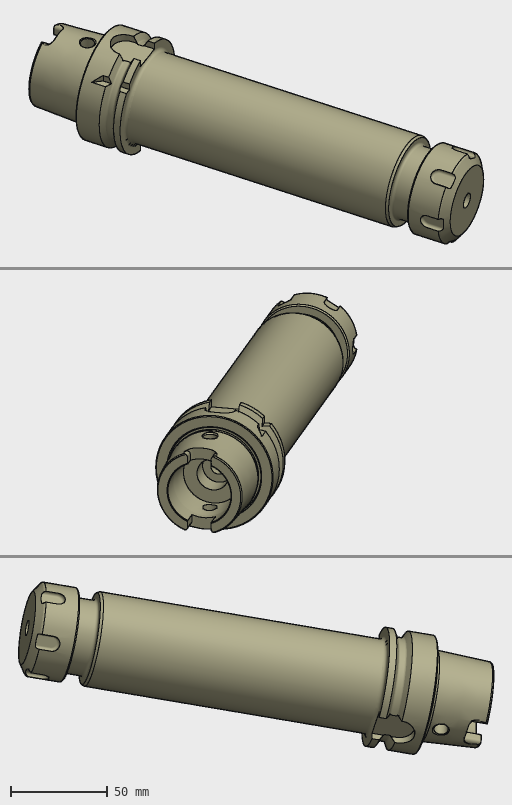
import cadquery as cq
import math


taper_length = 32.0
gauge_radius = 48 / 2
gauge_distance = 6.3
taper_slope = 1 / 20
nose_chamfer_length = 0.9
nose_chamfer_height = 0.5
undercut_radius = 23.7
undercut_length = 2.5
undercut_ramp = 1.0
face_recess_radius = 25.5
face_recess_depth = 0.6

flange_radius = 63 / 2
flange_width = 26.0
flange_chamfer = 0.5
groove_center = 18.0
groove_radius = 55 / 2
groove_bottom_width = 3.75
groove_flank_angle = 30.0
groove_root_fillet = 1.0

body_radius = 50 / 2
body_end = 179.0
body_chamfer_length = 1.5
body_chamfer_height = 0.75
body_root_fillet = 2.0
neck_radius = 40 / 2
neck_root_fillet = 1.5

nut_start = 190.0
nut_end = 212.4
nut_radius = 50 / 2
nut_back_chamfer = 0.8
nut_cone_length = 3.4
nut_face_radius = 38.6 / 2
nut_shoulder_radius = 24.3
nut_shoulder_length = 0.9
nut_wall = 6.0
nut_slot_count = 6
nut_slot_width = 8.0
nut_slot_length = 14.5
nut_slot_floor = 22.5
nut_slot_fillet = 1.4
neck_end = nut_end - nut_wall

bore_radius = 33.8 / 2
bore_straight_depth = 12.9
bore_mouth_chamfer = 0.4
bore_floor_radius = 31.4 / 2
bore_floor_x = -3.0
thread_bore_radius = 16.92 / 2
thread_bore_depth = 12.0
through_radius = 8 / 2
cross_hole_radius = 7.5 / 2
cross_hole_x = -9.0
cross_hole_sink_radius = 9 / 2

drive_slot_width = 12.54
drive_slot_corner = 4.3
drive_slot_rim_round = 2.0
upper_slot_length = 6.0
lower_slot_length = 9.6

pocket_width = 16.0
pocket_floor = 26.5
pocket_start = 5.3
notch_floor = 20.2
notch_wall = 20.5
notch_start = 5.7
notch_wall_start = 10.6

cut_margin = 5.0


def revolve_about_x(points):
    return cq.Workplane("XY").polyline(points).close().revolve(360, (0, 0, 0), (1, 0, 0))


def cylinder_along_x(radius, start, end):
    return cq.Workplane("YZ", origin=(start, 0, 0)).circle(radius).extrude(end - start)


def taper_radius(x):
    return gauge_radius + taper_slope * (x + gauge_distance)


def make_holder_blank():
    nose = -taper_length
    chamfer_end = nose + nose_chamfer_length
    root = body_root_fillet
    root_mid = root * (1 - math.sqrt(0.5))
    neck_mid = neck_root_fillet * (1 - math.sqrt(0.5))
    profile = (
        cq.Workplane("XY")
        .moveTo(nose, 0)
        .lineTo(nose, taper_radius(nose) - nose_chamfer_height)
        .lineTo(chamfer_end, taper_radius(chamfer_end))
        .lineTo(-undercut_length, taper_radius(-undercut_length))
        .lineTo(undercut_ramp - undercut_length, undercut_radius)
        .lineTo(face_recess_depth, undercut_radius)
        .lineTo(face_recess_depth, face_recess_radius - face_recess_depth)
        .lineTo(0, face_recess_radius)
        .lineTo(0, flange_radius - flange_chamfer)
        .lineTo(flange_chamfer, flange_radius)
        .lineTo(flange_width, flange_radius)
        .lineTo(flange_width, body_radius + root)
        .threePointArc(
            (flange_width + root_mid, body_radius + root_mid),
            (flange_width + root, body_radius),
        )
        .lineTo(body_end - body_chamfer_length, body_radius)
        .lineTo(body_end, body_radius - body_chamfer_height)
        .lineTo(body_end, neck_radius + neck_root_fillet)
        .threePointArc(
            (body_end + neck_mid, neck_radius + neck_mid),
            (body_end + neck_root_fillet, neck_radius),
        )
        .lineTo(neck_end, neck_radius)
        .lineTo(neck_end, 0)
        .close()
    )
    return profile.revolve(360, (0, 0, 0), (1, 0, 0))


def make_gripper_groove():
    half_bottom = groove_bottom_width / 2
    rim = flange_radius + cut_margin
    half_rim = half_bottom + (rim - groove_radius) * math.tan(math.radians(groove_flank_angle))
    groove = revolve_about_x([
        (groove_center - half_rim, rim),
        (groove_center - half_bottom, groove_radius),
        (groove_center + half_bottom, groove_radius),
        (groove_center + half_rim, rim),
    ])
    return groove.edges(cq.selectors.RadiusNthSelector(0)).fillet(groove_root_fillet)


def make_bores():
    nose = -taper_length
    thread_end = bore_floor_x + thread_bore_depth
    return revolve_about_x([
        (nose, 0),
        (nose, bore_radius + bore_mouth_chamfer),
        (nose + bore_mouth_chamfer, bore_radius),
        (nose + bore_straight_depth, bore_radius),
        (bore_floor_x, bore_floor_radius),
        (bore_floor_x, thread_bore_radius),
        (thread_end, thread_bore_radius),
        (thread_end, through_radius),
        (neck_end, through_radius),
        (neck_end, 0),
    ])


def make_cross_hole():
    """Hole through both taper walls, countersunk at 45 degrees on the outside."""
    surface = taper_radius(cross_hole_x)
    rim = surface + cut_margin
    sink_start = surface - (cross_hole_sink_radius - cross_hole_radius)
    half_hole = (
        cq.Workplane("XZ")
        .polyline([
            (0, 0),
            (cross_hole_radius, 0),
            (cross_hole_radius, sink_start),
            (cross_hole_sink_radius, surface),
            (cross_hole_sink_radius, rim),
            (0, rim),
        ])
        .close()
        .revolve(360, (0, 0, 0), (0, 1, 0))
    )
    hole = half_hole.union(half_hole.mirror("XY"))
    return hole.translate((cross_hole_x, 0, 0))


def make_drive_slot(length, angle):
    """Slot through the +Z taper wall with rounded-over long edges, turned by the angle about X."""
    half = drive_slot_width / 2
    rounding = drive_slot_rim_round
    surface = taper_radius(length / 2 - taper_length)
    center_y = half + rounding
    center_z = math.sqrt((surface - rounding)**2 - center_y**2)
    reach = surface / (surface - rounding)
    rim_y = center_y * reach
    rim_z = center_z * reach
    mid_y = center_y - rounding * math.sqrt(0.5)
    mid_z = center_z + rounding * math.sqrt(0.5)
    top = gauge_radius + cut_margin
    section = (
        cq.Workplane("YZ", origin=(-taper_length, 0, 0))
        .moveTo(-half, 0)
        .lineTo(half, 0)
        .lineTo(half, center_z)
        .threePointArc((mid_y, mid_z), (rim_y, rim_z))
        .lineTo(rim_y, top)
        .lineTo(-rim_y, top)
        .lineTo(-rim_y, rim_z)
        .threePointArc((-mid_y, mid_z), (-half, center_z))
        .close()
        .extrude(length)
    )
    plan = (
        cq.Workplane("XY", origin=(-taper_length, 0, 0))
        .box(length, 2 * rim_y, top, centered=(False, True, False))
        .edges(">X and |Z")
        .fillet(drive_slot_corner)
    )
    return section.intersect(plan).rotate((0, 0, 0), (1, 0, 0), angle)


def make_flange_pocket(angle):
    end_radius = pocket_width / 2
    center_x = pocket_start + end_radius
    straight = flange_width + cut_margin - center_x
    height = flange_radius - pocket_floor + cut_margin
    base = cq.Workplane("XY", origin=(center_x, 0, pocket_floor))
    round_end = base.circle(end_radius).extrude(height)
    channel = base.rect(straight, pocket_width).extrude(height).translate((straight / 2, 0, 0))
    return round_end.union(channel).rotate((0, 0, 0), (1, 0, 0), angle)


def make_index_notch():
    """Corner notch on the -Y, +Z side with a slanted end wall."""
    floor_reach = math.sqrt(flange_radius**2 - notch_floor**2) - notch_wall
    wall_slope = (notch_wall_start - notch_start) / floor_reach
    outer_start = notch_wall_start - wall_slope * (flange_radius - notch_wall)
    return (
        cq.Workplane("XY", origin=(0, 0, notch_floor))
        .polyline([
            (outer_start, -flange_radius),
            (notch_wall_start, -notch_wall),
            (flange_width, -notch_wall),
            (flange_width, -flange_radius),
        ])
        .close()
        .extrude(flange_radius)
    )


def make_holder():
    holder = make_holder_blank().cut(make_bores()).cut(make_cross_hole())
    holder = holder.cut(make_gripper_groove())
    holder = holder.cut(make_drive_slot(upper_slot_length, 0))
    holder = holder.cut(make_drive_slot(lower_slot_length, 180))
    for angle in (0, 180):
        holder = holder.cut(make_flange_pocket(angle))
    return holder.cut(make_index_notch())


def make_nut_slot(angle):
    half = nut_slot_width / 2
    start = nut_end - nut_slot_length
    height = nut_radius - nut_slot_floor + cut_margin
    base = cq.Workplane("XY", origin=(start + half, 0, nut_slot_floor))
    length = nut_slot_length
    slot = (
        base.moveTo(length, half)
        .lineTo(0, half)
        .threePointArc((-half, 0), (0, -half))
        .lineTo(length, -half)
        .close()
        .extrude(height)
        .faces("<Z")
        .edges("not >X")
        .fillet(nut_slot_fillet)
    )
    return slot.rotate((0, 0, 0), (1, 0, 0), angle)


def make_nut():
    cone_start = nut_end - nut_cone_length
    nut = revolve_about_x([
        (nut_start, 0),
        (nut_start, nut_radius - nut_back_chamfer),
        (nut_start + nut_back_chamfer, nut_radius),
        (cone_start - nut_shoulder_length, nut_radius),
        (cone_start, nut_shoulder_radius),
        (nut_end, nut_face_radius),
        (nut_end, 0),
    ])
    nut = nut.cut(cylinder_along_x(neck_radius, nut_start, neck_end))
    nut = nut.cut(cylinder_along_x(through_radius, neck_end, nut_end))
    for index in range(nut_slot_count):
        angle = 90 + index * 360 / nut_slot_count
        nut = nut.cut(make_nut_slot(angle))
    return nut


holder = make_holder()
nut = make_nut()
result = cq.Compound.makeCompound([holder.val(), nut.val()])